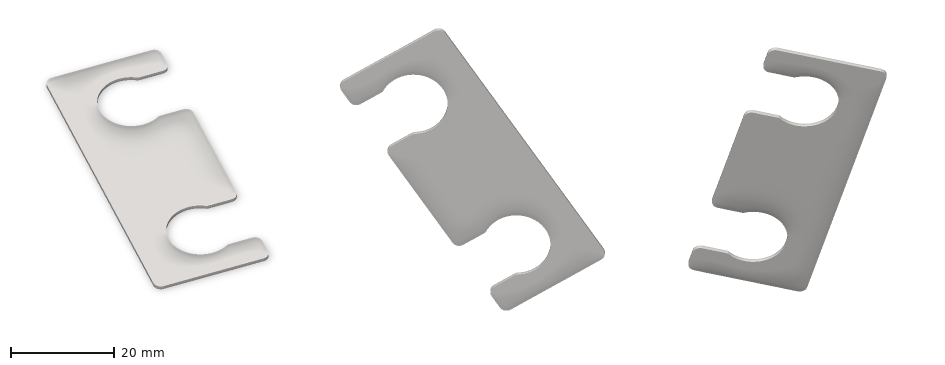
import cadquery as cq

length = 60.3
width = 23.85
thickness = 0.8
corner_radius = 1.5

notch_spacing = 37.15
hole_diameter = 13.2
hole_depth = 10.2
mouth_width = 11.1

top_edge = width / 2
hole_y = top_edge - hole_depth


def notch(x):
    """Round hole joined to the +Y edge by a narrower straight mouth."""
    hole = cq.Workplane("XY").center(x, hole_y).circle(hole_diameter / 2).extrude(thickness)
    mouth = (
        cq.Workplane("XY")
        .center(x, hole_y + hole_depth / 2)
        .rect(mouth_width, hole_depth)
        .extrude(thickness)
    )
    return hole.union(mouth)


plate = cq.Workplane("XY").box(length, width, thickness, centered=(True, True, False))
for side in (-1, 1):
    plate = plate.cut(notch(side * notch_spacing / 2))

result = plate.edges("|Z and (>Y or <Y)").fillet(corner_radius)